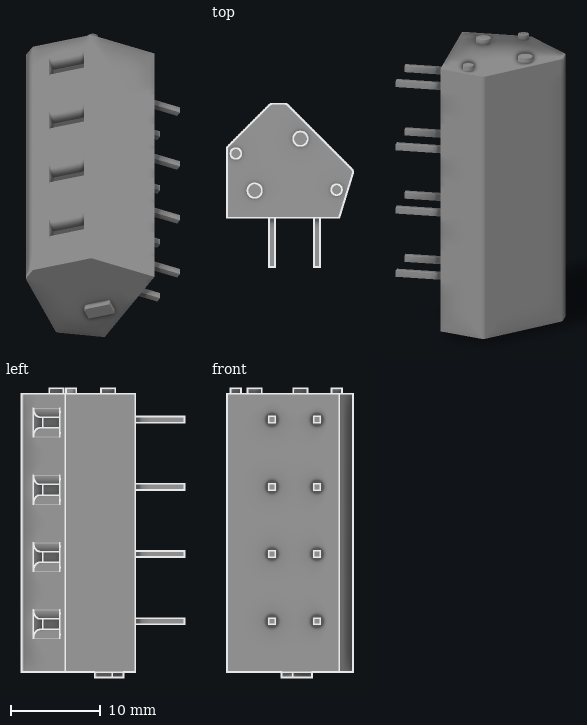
import cadquery as cq
import math

total_height = 32.3
stud_height = 0.6
body_height = total_height - 2 * stud_height
depth = 12.73
left_wall = 7.85
floor_width = 12.53
right_corner_x = 14.15
right_corner_y = 5.23
crest_start = depth - left_wall
crest_end = right_corner_x + right_corner_y - depth
corner_radius = 0.5

pole_count = 4
pitch = 7.5
pin_side = 0.7
pin_length = 5.5
pin_spacing = 5.0
first_pin_x = 5.05
lowest_pin_z = 5.7

lowest_window_z = 5.35
window_height = 3.2
window_y_low = 8.45
window_y_high = 11.37
window_depth = 1.5
window_rounding = 1.0

large_stud_diameter = 1.6
large_studs = [(3.1, 3.05), (8.2, 8.82)]
small_stud_diameter = 1.2
small_studs = [(1.0, 7.17), (12.25, 3.13)]

key_center = (7.8, 3.05)
key_length = 3.07
key_width = 1.78
key_angle = 45
key_corner_radius = 0.5


def make_body():
    outline = [
        (0, 0),
        (floor_width, 0),
        (right_corner_x, right_corner_y),
        (crest_end, depth),
        (crest_start, depth),
        (0, left_wall),
    ]
    body = cq.Workplane("XY").polyline(outline).close().extrude(body_height)
    return body.edges("|Z").edges(">Y or >X").fillet(corner_radius)


def make_studs(centers, diameter):
    top = cq.Workplane("XY", origin=(0, 0, body_height))
    return top.pushPoints(centers).circle(diameter / 2).extrude(stud_height)


def make_key():
    key = cq.Workplane("XY").rect(key_length, key_width).extrude(-stud_height)
    key = key.edges("|Z").edges(">(1, 1, 0)").fillet(key_corner_radius)
    return key.rotate((0, 0, 0), (0, 0, 1), key_angle).translate(key_center)


def make_pins(z):
    row = cq.Workplane("XZ", origin=(first_pin_x, 0, z))
    return row.pushPoints([(0, 0), (pin_spacing, 0)]).rect(pin_side, pin_side).extrude(pin_length)


def make_window(z):
    """Cutter whose upper and lower walls flare outward in a quarter round to the slope."""
    low_end = (window_y_low - left_wall, window_y_low, z)
    section = cq.Plane(origin=low_end, xDir=(1, -1, 0), normal=(1, 1, 0))
    half_mouth = window_height / 2
    half_throat = half_mouth - window_rounding
    bend = window_rounding * (1 - math.sqrt(0.5))
    slope_length = (window_y_high - window_y_low) * math.sqrt(2)
    return (
        cq.Workplane(section)
        .moveTo(0, -half_mouth)
        .threePointArc((bend, -half_throat - bend), (window_rounding, -half_throat))
        .lineTo(window_depth, -half_throat)
        .lineTo(window_depth, half_throat)
        .lineTo(window_rounding, half_throat)
        .threePointArc((bend, half_throat + bend), (0, half_mouth))
        .close()
        .extrude(slope_length)
    )


result = make_body()
result = result.union(make_studs(large_studs, large_stud_diameter))
result = result.union(make_studs(small_studs, small_stud_diameter))
result = result.union(make_key())
for pole in range(pole_count):
    result = result.union(make_pins(lowest_pin_z + pole * pitch))
    result = result.cut(make_window(lowest_window_z + pole * pitch))